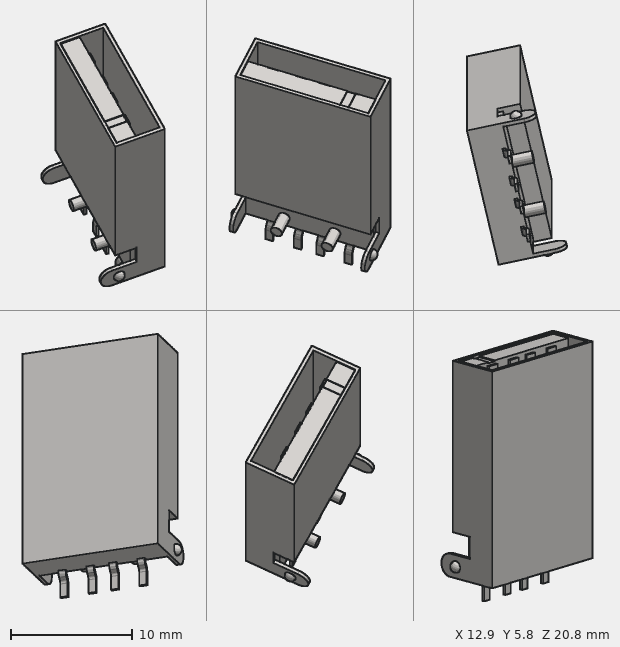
import cadquery as cq
import math


SHELL_WIDTH = 12.0
SHELL_DEPTH = 4.5
SHELL_HEIGHT = 18.65
WALL = 0.33
FRONT_WALL = 0.3

OPENING_HEIGHT = 3.9
NOTCH_BACK = 2.55
LUG_HEIGHT = 2.0
LUG_REACH = 5.8

OVERALL_WIDTH = 12.9
DOME_DIAMETER = 1.0
DOME_DISTANCE = 4.15

BASE_DEPTH = 3.0
TONGUE_BACK = 2.45
TONGUE_RECESS = 0.15
GROOVE_WIDTH = 0.75
GROOVE_DEPTH = 0.1

POST_DIAMETER = 1.0
POST_SPACING = 4.5
POST_REACH = 4.75

CONTACT_POSITIONS = (-3.5, -1.0, 1.0, 3.5)
CONTACT_WIDTH = 1.0
CONTACT_THICKNESS = 0.2
CONTACT_RECESS = 0.3
LEG_WIDTH = 0.65
LEG_THICKNESS = 0.25
LEG_BACK = 2.52
LEG_LENGTH = 2.2
LEG_LEAD = 0.1
LEG_BEND_RADIUS = 0.4
LEG_BEND_ANGLE = 40.0
LEG_SLANT_LENGTH = 0.3

LUG_RADIUS = LUG_HEIGHT / 2
INNER_WIDTH = SHELL_WIDTH - 2 * WALL
INNER_DEPTH = SHELL_DEPTH - WALL - FRONT_WALL
TONGUE_TOP = SHELL_HEIGHT - TONGUE_RECESS


def box(x_center, width, near_back, far_back, bottom, top):
    """Block of a given width between two distances from the back wall and two heights."""
    return cq.Workplane("XY").box(width, far_back - near_back, top - bottom).translate(
        (x_center, -(near_back + far_back) / 2, (bottom + top) / 2)
    )


def make_shell():
    tube = box(0, SHELL_WIDTH, 0, SHELL_DEPTH, 0, SHELL_HEIGHT)
    cavity = box(0, INNER_WIDTH, WALL, WALL + INNER_DEPTH, 0, SHELL_HEIGHT)
    notch = box(0, SHELL_WIDTH, NOTCH_BACK, SHELL_DEPTH, 0, OPENING_HEIGHT)
    return tube.cut(cavity).cut(notch)


def make_lug(side):
    """Round-ended lug in the plane of one side wall, with its snap dome."""
    round_center = LUG_RADIUS - LUG_REACH
    plate = (
        cq.Workplane("YZ")
        .moveTo(-WALL, 0)
        .lineTo(round_center, 0)
        .threePointArc((-LUG_REACH, LUG_RADIUS), (round_center, LUG_HEIGHT))
        .lineTo(-WALL, LUG_HEIGHT)
        .close()
        .extrude(WALL / 2, both=True)
        .translate((side * (SHELL_WIDTH - WALL) / 2, 0, 0))
    )
    return plate.union(make_dome(side))


def make_dome(side):
    """Spherical cap on a short stub that is rooted in the lug."""
    cap_height = (OVERALL_WIDTH - SHELL_WIDTH) / 2
    base_radius = DOME_DIAMETER / 2
    sphere_radius = (base_radius**2 + cap_height**2) / (2 * cap_height)
    tip = OVERALL_WIDTH / 2
    sphere_center = tip - sphere_radius
    half_angle = math.atan2(base_radius, SHELL_WIDTH / 2 - sphere_center) / 2
    arc_middle = (
        side * (sphere_center + sphere_radius * math.cos(half_angle)),
        sphere_radius * math.sin(half_angle),
    )
    root = side * (SHELL_WIDTH - WALL) / 2
    return (
        cq.Workplane("XY", origin=(0, -DOME_DISTANCE, LUG_RADIUS))
        .moveTo(root, 0)
        .lineTo(root, base_radius)
        .lineTo(side * SHELL_WIDTH / 2, base_radius)
        .threePointArc(arc_middle, (side * tip, 0))
        .close()
        .revolve(360, (0, 0, 0), (1, 0, 0))
    )


def make_insulator():
    base = box(0, INNER_WIDTH, WALL, BASE_DEPTH, 0, OPENING_HEIGHT)
    tongue = box(0, INNER_WIDTH, TONGUE_BACK, WALL + INNER_DEPTH, OPENING_HEIGHT, TONGUE_TOP)
    groove = box(
        CONTACT_POSITIONS[-1],
        GROOVE_WIDTH,
        TONGUE_BACK,
        WALL + INNER_DEPTH,
        TONGUE_TOP - GROOVE_DEPTH,
        TONGUE_TOP,
    )
    return base.union(tongue).cut(groove)


def make_post(x_center):
    return (
        cq.Workplane("XZ", origin=(x_center, -BASE_DEPTH, LUG_RADIUS))
        .circle(POST_DIAMETER / 2)
        .extrude(POST_REACH - BASE_DEPTH)
    )


def make_contact(x_center):
    return box(
        x_center,
        CONTACT_WIDTH,
        TONGUE_BACK - CONTACT_THICKNESS,
        TONGUE_BACK,
        OPENING_HEIGHT,
        TONGUE_TOP - CONTACT_RECESS,
    )


def make_leg(x_center):
    """Solder leg: runs down, slants towards the front, then runs straight down again."""
    center_radius = LEG_BEND_RADIUS + LEG_THICKNESS / 2
    angle = math.radians(LEG_BEND_ANGLE)
    start_y = -LEG_BACK - LEG_THICKNESS / 2

    def bend_offset(turn):
        """Sideways and downward travel along a bend after turning through an angle."""
        return center_radius * (1 - math.cos(turn)), center_radius * math.sin(turn)

    half_side, half_drop = bend_offset(angle / 2)
    bend_side, bend_drop = bend_offset(angle)
    slant_start = (start_y - bend_side, -LEG_LEAD - bend_drop)
    slant_end = (
        slant_start[0] - LEG_SLANT_LENGTH * math.sin(angle),
        slant_start[1] - LEG_SLANT_LENGTH * math.cos(angle),
    )
    lower_y = slant_end[0] - bend_side
    lower_z = slant_end[1] - bend_drop
    path = (
        cq.Workplane("YZ", origin=(x_center, 0, 0))
        .moveTo(start_y, LUG_RADIUS)
        .lineTo(start_y, -LEG_LEAD)
        .threePointArc((start_y - half_side, -LEG_LEAD - half_drop), slant_start)
        .lineTo(*slant_end)
        .threePointArc((lower_y + half_side, lower_z + half_drop), (lower_y, lower_z))
        .lineTo(lower_y, -LEG_LENGTH)
    )
    section = cq.Workplane("XY", origin=(x_center, start_y, LUG_RADIUS)).rect(LEG_WIDTH, LEG_THICKNESS)
    return section.sweep(path)


result = make_shell().union(make_insulator())
for side in (-1, 1):
    result = result.union(make_lug(side))
    result = result.union(make_post(side * POST_SPACING / 2))
for position in CONTACT_POSITIONS:
    result = result.union(make_contact(position))
    result = result.union(make_leg(position))